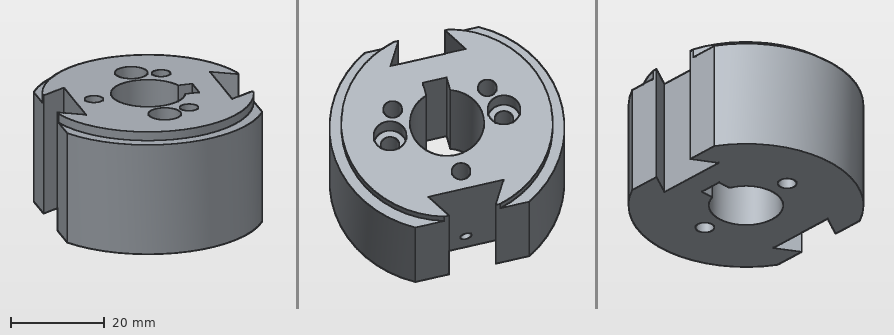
import cadquery as cq
import math

body_diameter = 50
body_height = 25
disc_diameter = 45
disc_height = 2
total_height = body_height + disc_height
flat_distance = body_diameter / 2 * math.cos(math.radians(30))

slot_floor_width = 16.5
slot_floor_distance = 16.2
slot_wall_angle = 60

bore_diameter = 15.8
keyway_width = 5.25
keyway_top = 10.6

bolt_spacing = 25
bolt_diameter = 4
counterbore_diameter = 7
counterbore_depth = 4.3

blind_count = 3
blind_circle_radius = 12
blind_diameter = 4
blind_depth = 10

side_hole_diameter = 2.5
side_hole_height = 5
side_hole_depth = 5


def make_blank():
    body = cq.Workplane("XY").circle(body_diameter / 2).extrude(body_height)
    disc = cq.Workplane("XY").circle(disc_diameter / 2).extrude(total_height)
    between_flats = cq.Workplane("XY").box(
        body_diameter, 2 * flat_distance, total_height, centered=(True, True, False)
    )
    return body.union(disc).intersect(between_flats)


def dovetail_cutter(side):
    """Slot cutter for the flat at +Y (side = 1) or -Y (side = -1)."""
    depth = flat_distance - slot_floor_distance
    floor_half = slot_floor_width / 2
    mouth_half = floor_half - depth / math.tan(math.radians(slot_wall_angle))
    outline = [
        (-floor_half, side * slot_floor_distance),
        (floor_half, side * slot_floor_distance),
        (mouth_half, side * flat_distance),
        (-mouth_half, side * flat_distance),
    ]
    return cq.Workplane("XY").polyline(outline).close().extrude(total_height)


def bore_cutter():
    bore = cq.Workplane("XY").circle(bore_diameter / 2).extrude(total_height)
    keyway = (
        cq.Workplane("XY")
        .center(0, keyway_top / 2)
        .rect(keyway_width, keyway_top)
        .extrude(total_height)
    )
    return bore.union(keyway)


def side_hole_cutter():
    return (
        cq.Workplane("XZ", origin=(0, -slot_floor_distance, side_hole_height))
        .circle(side_hole_diameter / 2)
        .extrude(-side_hole_depth)
    )


result = make_blank()
for side in (1, -1):
    result = result.cut(dovetail_cutter(side))
result = result.cut(bore_cutter())

top_plane = cq.Workplane("XY", origin=(0, 0, total_height))
bolt_holes = top_plane.rarray(bolt_spacing, 0.5, 2, 1).circle(bolt_diameter / 2).extrude(-total_height)
counterbores = (
    top_plane.rarray(bolt_spacing, 0.5, 2, 1).circle(counterbore_diameter / 2).extrude(-counterbore_depth)
)
blind_holes = (
    top_plane.polarArray(blind_circle_radius, -90, 360, blind_count)
    .circle(blind_diameter / 2)
    .extrude(-blind_depth)
)
result = result.cut(bolt_holes).cut(counterbores).cut(blind_holes).cut(side_hole_cutter())